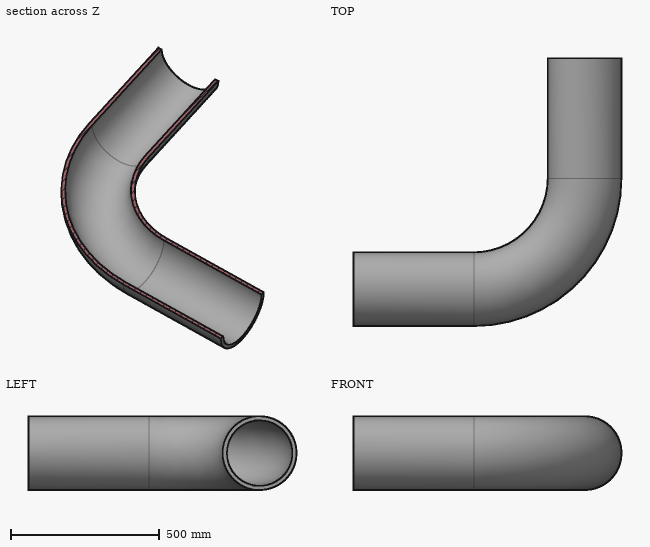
import cadquery as cq
import math

overall_size = 905.0
outer_diameter = 250.0
bore_diameter = 221.0
bend_radius = 1.5 * outer_diameter

half_size = overall_size / 2
axis_offset = half_size - outer_diameter / 2
bend_offset = axis_offset - bend_radius
bend_middle = bend_offset + bend_radius * math.sqrt(0.5)

centreline = (
    cq.Workplane("XY")
    .moveTo(-half_size, -axis_offset)
    .lineTo(bend_offset, -axis_offset)
    .threePointArc((bend_middle, -bend_middle), (axis_offset, -bend_offset))
    .lineTo(axis_offset, half_size)
)

result = (
    cq.Workplane("YZ", origin=(-half_size, -axis_offset, 0))
    .circle(outer_diameter / 2)
    .circle(bore_diameter / 2)
    .sweep(centreline)
)